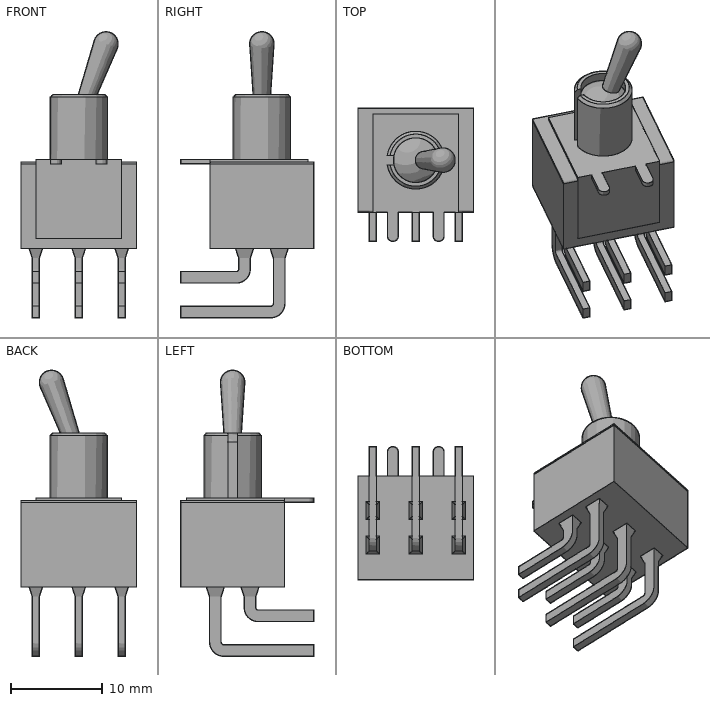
import cadquery as cq
import math


housing_width = 12.7
housing_depth = 11.42
housing_bottom = 7.6
housing_top = 16.88
front_y = -housing_depth / 2

cover_thickness = 0.22
sheet_thickness = 0.5
sheet_width = 9.4
sheet_back_gap = 0.63
panel_bottom = 8.7
sheet_top = housing_top + sheet_thickness
tab_width = 1.22
tab_pitch = 5.02
tip_y = -8.9

bushing_diameter = 6.35
bushing_top = 24.5
bushing_chamfer = 0.3
bore_diameter = 4.9
bore_depth = 1.0
keyway_width = 1.05
keyway_depth = 0.78
bore_floor = bushing_top - bore_depth

dome_height = 1.0
lever_top = 31.37
lever_tilt = 20.0
knob_radius = 1.35
shaft_root_radius = 0.95
pivot_z = 21.83
shaft_start = 2.25
shaft_length = (lever_top - knob_radius - pivot_z) / math.cos(math.radians(lever_tilt))

pin_width = 0.78
pin_height = 1.3
pin_inner_radius = 0.28
column_pitch = 4.7
row_pitch = 3.8
root_height = 1.07
root_flare = 0.35
root_bottom = housing_bottom - root_height


def make_housing():
    """Plain block with a shallow front recess for the frame's panel."""
    block = cq.Workplane("XY").box(
        housing_width, housing_depth, housing_top - housing_bottom, centered=(True, True, False)
    ).translate((0, 0, housing_bottom))
    return block.cut(make_front_panel())


def make_front_panel():
    """Part of the bent sheet that runs down the front, flush with the housing."""
    return cq.Workplane("XY").box(
        sheet_width, sheet_thickness, housing_top - panel_bottom, centered=(True, False, False)
    ).translate((0, front_y, panel_bottom))


def make_cover():
    """Thin layer on top of the housing, its front edge rounded over its whole thickness."""
    cover_top = housing_top + cover_thickness
    round_offset = cover_thickness * (1 - math.sqrt(0.5))
    return (
        cq.Workplane("YZ")
        .moveTo(front_y, housing_top)
        .threePointArc(
            (front_y + round_offset, cover_top - round_offset),
            (front_y + cover_thickness, cover_top),
        )
        .lineTo(-front_y, cover_top)
        .lineTo(-front_y, housing_top)
        .close()
        .extrude(housing_width / 2, both=True)
    )


def make_top_sheet():
    """Top of the bent sheet with two round-ended tabs reaching forward."""
    sheet = cq.Workplane("XY", origin=(0, front_y, housing_top)).box(
        sheet_width, housing_depth - sheet_back_gap, sheet_thickness, centered=(True, False, False)
    )
    tip_center_y = tip_y + tab_width / 2
    tab_length = front_y + sheet_thickness - tip_center_y
    for x in (-tab_pitch / 2, tab_pitch / 2):
        tab = cq.Workplane("XY", origin=(x, tip_center_y, housing_top)).box(
            tab_width, tab_length, sheet_thickness, centered=(True, False, False)
        )
        tip = cq.Workplane("XY", origin=(x, tip_center_y, housing_top)).circle(tab_width / 2)
        sheet = sheet.union(tab).union(tip.extrude(sheet_thickness))
    return sheet


def make_bushing():
    """Chamfered post with a shallow bore on top and a keyway down its -X side."""
    post = (
        cq.Workplane("XY", origin=(0, 0, housing_top))
        .circle(bushing_diameter / 2)
        .extrude(bushing_top - housing_top)
        .faces(">Z")
        .chamfer(bushing_chamfer)
    )
    bore = cq.Workplane("XY", origin=(0, 0, bore_floor)).circle(bore_diameter / 2).extrude(bore_depth)
    keyway = cq.Workplane("XY", origin=(-bushing_diameter / 2, 0, sheet_top)).box(
        2 * keyway_depth, keyway_width, bushing_top - sheet_top, centered=(True, True, False)
    )
    return post.cut(bore).cut(keyway)


def make_frame():
    """Cover, bent sheet, tabs and bushing as one body."""
    return make_cover().union(make_top_sheet()).union(make_front_panel()).union(make_bushing())


def make_lever():
    """Dome resting on the bore floor, with a tilted tapered shaft and round knob."""
    dome_edge = bore_diameter / 2
    dome_radius = (dome_edge**2 + dome_height**2) / (2 * dome_height)
    dome_center_z = bore_floor + dome_height - dome_radius
    ball = cq.Workplane("XY", origin=(0, 0, dome_center_z)).sphere(dome_radius)
    dome_blank = cq.Workplane("XY", origin=(0, 0, bore_floor)).circle(dome_edge).extrude(dome_height)
    dome = dome_blank.intersect(ball)

    knob_side = knob_radius * math.sqrt(0.5)
    shaft = (
        cq.Workplane("XZ")
        .moveTo(0, shaft_start)
        .lineTo(shaft_root_radius, shaft_start)
        .lineTo(knob_radius, shaft_length)
        .threePointArc((knob_side, shaft_length + knob_side), (0, shaft_length + knob_radius))
        .close()
        .revolve(360, (0, 0, 0), (0, 1, 0))
        .rotate((0, 0, 0), (0, 1, 0), lever_tilt)
        .translate((0, 0, pivot_z))
    )
    return dome.union(shaft)


def make_terminal(x, y, bottom):
    """Flared root under the housing, then a bar bent forward; `bottom` is its lower face."""
    back = y + pin_height / 2
    front = y - pin_height / 2
    arm_top = bottom + pin_height
    outer_radius = pin_height + pin_inner_radius
    bend_y = front - pin_inner_radius
    bend_z = arm_top + pin_inner_radius
    outer_45 = outer_radius * math.sqrt(0.5)
    inner_45 = pin_inner_radius * math.sqrt(0.5)
    bar = (
        cq.Workplane("YZ", origin=(x, 0, 0))
        .moveTo(back, root_bottom)
        .lineTo(back, bend_z)
        .threePointArc((bend_y + outer_45, bend_z - outer_45), (bend_y, bottom))
        .lineTo(tip_y, bottom)
        .lineTo(tip_y, arm_top)
        .lineTo(bend_y, arm_top)
        .threePointArc((bend_y + inner_45, bend_z - inner_45), (front, bend_z))
        .lineTo(front, root_bottom)
        .close()
        .extrude(pin_width / 2, both=True)
    )
    root = (
        cq.Workplane("XY", origin=(x, y, root_bottom))
        .rect(pin_width, pin_height)
        .workplane(offset=root_height)
        .rect(pin_width + 2 * root_flare, pin_height + 2 * root_flare)
        .loft(ruled=True)
    )
    return bar.union(root)


housing = make_housing()
frame = make_frame()
lever = make_lever()

terminals = []
for column in (-1, 0, 1):
    for y, bottom in ((row_pitch / 2, 0), (-row_pitch / 2, row_pitch)):
        terminals.append(make_terminal(column * column_pitch, y, bottom).val())

result = cq.Compound.makeCompound([housing.val(), frame.val(), lever.val(), *terminals])